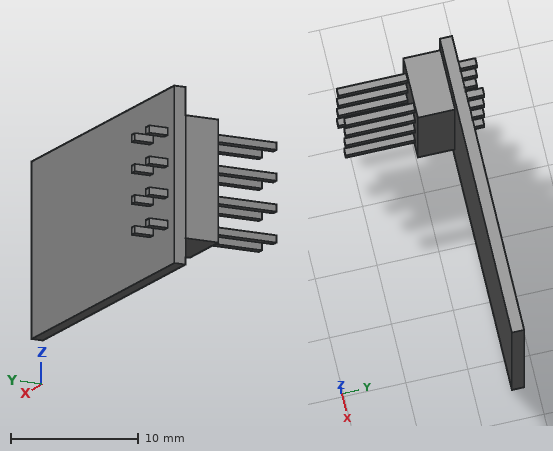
import cadquery as cq

board_length = 25.0
board_height = 14.5
board_thickness = 1.0

header_width = 5.05
header_height = 10.05
header_depth = 3.0
header_edge_gap = 0.22

pin_size = 0.6
pin_pitch = 2.52
pin_columns = 2
pin_rows = 4
pin_front_reach = 5.6
pin_back_reach = 1.6

header_center_x = -board_length / 2 + header_edge_gap + header_width / 2
pin_front_y = -header_depth - pin_front_reach
pin_length = pin_front_reach + header_depth + board_thickness + pin_back_reach


def make_board():
    return cq.Workplane("XY").box(
        board_length, board_thickness, board_height, centered=(True, False, True)
    )


def make_header():
    body = cq.Workplane("XY").box(
        header_width, header_depth, header_height, centered=(True, False, True)
    )
    return body.translate((header_center_x, -header_depth, 0))


def make_pin(x, z):
    pin = cq.Workplane("XY").box(pin_size, pin_length, pin_size, centered=(True, False, True))
    return pin.translate((x, pin_front_y, z))


result = make_board().union(make_header())
for column in range(pin_columns):
    pin_x = header_center_x + (column - (pin_columns - 1) / 2) * pin_pitch
    for row in range(pin_rows):
        pin_z = (row - (pin_rows - 1) / 2) * pin_pitch
        result = result.union(make_pin(pin_x, pin_z))